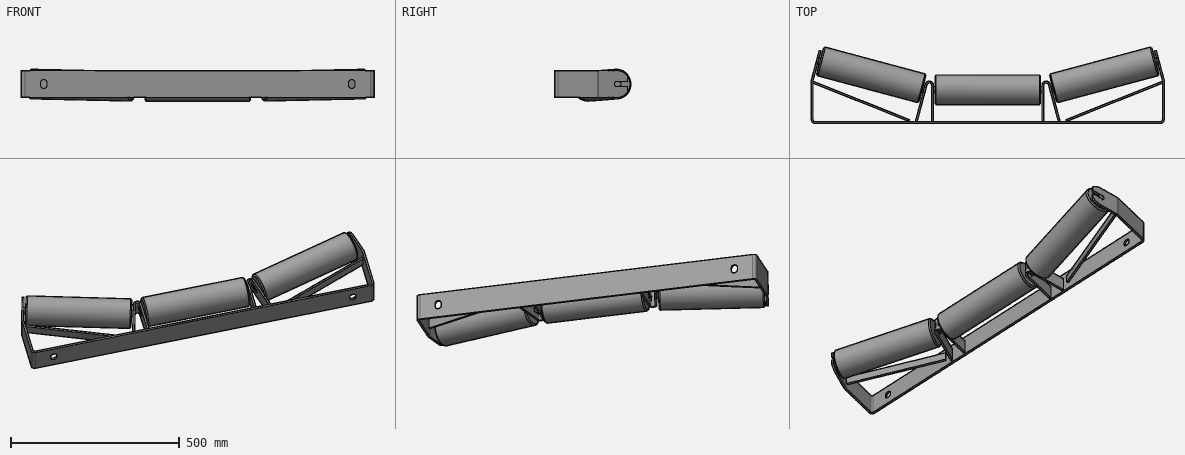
import cadquery as cq
import math

SHEET = 6.0
STRIP_WIDTH = 80.0
BEND_RADIUS = 10.0

FRAME_LENGTH = 1050.0
LEG_BEND_HEIGHT = 129.0
FLANGE_LENGTH = 91.0
WING_ANGLE = 15.0

MOUNT_HOLE_SPACING = 916.0
MOUNT_HOLE_WIDTH = 19.0
MOUNT_HOLE_HEIGHT = 26.0

BRACKET_SPAN = 322.0
FOLD_RADIUS = 13.0
BRACKET_WIDTH = 52.0
BRACKET_HEIGHT = 126.0

BRACE_WIDTH = 30.0
BRACE_HEAD_HEIGHT = 126.0
BRACE_FOOT_X = 232.0
BRACE_BITE = 1.0

ROLLER_LENGTH = 315.0
ROLLER_DIAMETER = 89.0
ROLLER_EDGE = 4.0
SHAFT_DIAMETER = 20.0
SHAFT_FLATS = 16.0
ROLLER_DROP = 6.8
CENTRE_AXIS_HEIGHT = 100.0
WING_AXIS_ABOVE_BEND = 61.0

SIDES = (-1, 1)

COS_WING = math.cos(math.radians(WING_ANGLE))
SIN_WING = math.sin(math.radians(WING_ANGLE))
WING_AXIS = cq.Vector(COS_WING, -SIN_WING, 0)
WING_UP = cq.Vector(SIN_WING, COS_WING, 0)

LEG_BEND = cq.Vector(-FRAME_LENGTH / 2, LEG_BEND_HEIGHT, 0)
FOLD_CENTRE = cq.Vector(-BRACKET_SPAN / 2 - FOLD_RADIUS, BRACKET_HEIGHT - FOLD_RADIUS, 0)
WING_SPAN = (FOLD_CENTRE - LEG_BEND).dot(WING_AXIS) - FOLD_RADIUS - SHEET
WING_CENTRE = LEG_BEND + WING_UP * WING_AXIS_ABOVE_BEND + WING_AXIS * (SHEET + WING_SPAN / 2)
WING_DROP_ANGLE = math.degrees(math.atan(ROLLER_DROP / WING_SPAN))


def prism(left_points, width, corner_radius):
    """Left-right symmetric prism with its four outermost upright edges rounded."""
    right_points = [(-x, y) for x, y in reversed(left_points)]
    return (
        cq.Workplane("XY")
        .polyline(left_points + right_points)
        .close()
        .extrude(width / 2, both=True)
        .edges("|Z and (<X or >X)")
        .fillet(corner_radius)
    )


def turn_to_wing(shape, side):
    """Move a shape built along X to the left (side -1) or right (side 1) wing, square to its flange."""
    turned = shape.rotate((0, 0, 0), (0, 0, 1), side * WING_ANGLE)
    return turned.translate((-side * WING_CENTRE.x, WING_CENTRE.y, 0))


def place_wing(shape, side):
    """Put a shape built along X on a wing roller axis, which drops towards the middle."""
    tilted = shape.rotate((0, 0, 0), (0, 1, 0), -side * WING_DROP_ANGLE)
    return turn_to_wing(tilted, side).translate((0, 0, -ROLLER_DROP / 2))


def place_centre(shape):
    return shape.translate((0, CENTRE_AXIS_HEIGHT, -ROLLER_DROP))


def make_flange_corners(side):
    """Waste outside the arc that rounds a flange end about the roller axis."""
    thickness = 4 * SHEET
    above_axis = cq.Workplane("XY").box(thickness, STRIP_WIDTH, 2 * STRIP_WIDTH)
    rounded_end = cq.Workplane("YZ").circle(STRIP_WIDTH / 2).extrude(thickness / 2, both=True)
    waste = above_axis.translate((0, STRIP_WIDTH / 2, 0)).cut(rounded_end)
    return turn_to_wing(waste.translate((side * WING_SPAN / 2, 0, 0)), side)


def make_channel():
    tip_outer = LEG_BEND + WING_UP * FLANGE_LENGTH
    tip_inner = tip_outer + WING_AXIS * SHEET
    above_tip = tip_inner + WING_UP * FLANGE_LENGTH
    inner_x = LEG_BEND.x + SHEET
    inner_bend_y = LEG_BEND_HEIGHT - SHEET * math.tan(math.radians(WING_ANGLE / 2))
    outside = [tip_inner.toTuple()[:2], tip_outer.toTuple()[:2], LEG_BEND.toTuple()[:2], (LEG_BEND.x, 0)]
    inside = [above_tip.toTuple()[:2], (inner_x, inner_bend_y), (inner_x, SHEET)]
    channel = prism(outside, STRIP_WIDTH, BEND_RADIUS).cut(prism(inside, STRIP_WIDTH, BEND_RADIUS - SHEET))
    for side in SIDES:
        channel = channel.cut(make_flange_corners(side))
    mount_holes = (
        cq.Workplane("XZ")
        .pushPoints([(-MOUNT_HOLE_SPACING / 2, 0), (MOUNT_HOLE_SPACING / 2, 0)])
        .slot2D(MOUNT_HOLE_HEIGHT, MOUNT_HOLE_WIDTH, 90)
        .extrude(-SHEET)
    )
    return channel.cut(mount_holes)


def make_left_bracket():
    """Upright leg, round fold and a leg square to the wing roller axis."""
    inner_radius = FOLD_RADIUS - SHEET

    def on_fold(radius, angle):
        turn = math.radians(angle)
        return (FOLD_CENTRE.x + radius * math.cos(turn), FOLD_CENTRE.y + radius * math.sin(turn))

    def foot(radius):
        start_x, start_y = on_fold(radius, 180 - WING_ANGLE)
        return (start_x - start_y * SIN_WING / COS_WING, 0)

    return (
        cq.Workplane("XY")
        .moveTo(FOLD_CENTRE.x + FOLD_RADIUS, 0)
        .lineTo(*on_fold(FOLD_RADIUS, 0))
        .threePointArc(on_fold(FOLD_RADIUS, 90), on_fold(FOLD_RADIUS, 180 - WING_ANGLE))
        .lineTo(*foot(FOLD_RADIUS))
        .lineTo(*foot(inner_radius))
        .lineTo(*on_fold(inner_radius, 180 - WING_ANGLE))
        .threePointArc(on_fold(inner_radius, 90), on_fold(inner_radius, 0))
        .lineTo(FOLD_CENTRE.x + inner_radius, 0)
        .close()
        .extrude(BRACKET_WIDTH / 2, both=True)
        .translate((0, 0, -ROLLER_DROP))
    )


def make_left_brace():
    """Flat strip from the leg bend down to the base; its corners bite into both."""
    head = cq.Vector(LEG_BEND.x + SHEET - BRACE_BITE, BRACE_HEAD_HEIGHT, 0)
    foot = cq.Vector(-BRACE_FOOT_X, SHEET - BRACE_BITE + SHEET, 0)
    run = foot - head
    slope = math.degrees(math.atan2(run.y, run.x))
    return (
        cq.Workplane("XY")
        .rect(run.Length, SHEET)
        .extrude(BRACE_WIDTH / 2, both=True)
        .translate((run.Length / 2, -SHEET / 2, 0))
        .rotate((0, 0, 0), (0, 0, 1), slope)
        .translate(head)
    )


def make_flatted_shaft(span):
    """Round shaft with two flats, reaching through the sheet at both ends of the span."""
    length = span + 2 * SHEET
    flats = cq.Workplane("XY").box(length, SHAFT_DIAMETER, SHAFT_FLATS)
    return cq.Workplane("YZ").circle(SHAFT_DIAMETER / 2).extrude(length / 2, both=True).intersect(flats)


def make_roller(span):
    """Roller and shaft along X, centred on the origin."""
    drum = (
        cq.Workplane("YZ", origin=(-ROLLER_LENGTH / 2, 0, 0))
        .circle(ROLLER_DIAMETER / 2)
        .extrude(ROLLER_LENGTH)
        .edges()
        .chamfer(ROLLER_EDGE)
    )
    round_shaft = cq.Workplane("YZ").circle(SHAFT_DIAMETER / 2).extrude(span / 2, both=True)
    return drum.union(round_shaft).union(make_flatted_shaft(span))


def make_shaft_slots(span):
    """Open-topped slots for both shaft ends, just long enough to pass through the sheet."""
    margin = 1.0
    length = span + 2 * SHEET + 2 * margin
    bottom = make_flatted_shaft(span + 2 * margin)
    throat = cq.Workplane("XY").box(length, FLANGE_LENGTH, SHAFT_FLATS).translate((0, FLANGE_LENGTH / 2, 0))
    keep_between = cq.Workplane("XY").box(span - 2 * margin, 3 * FLANGE_LENGTH, STRIP_WIDTH)
    return bottom.union(throat).cut(keep_between)


def make_frame():
    frame = make_channel()
    for member in (make_left_bracket(), make_left_brace()):
        frame = frame.union(member).union(member.mirror("YZ"))
    frame = frame.cut(place_centre(make_shaft_slots(BRACKET_SPAN)))
    for side in SIDES:
        frame = frame.cut(place_wing(make_shaft_slots(WING_SPAN), side))
    return frame


frame = make_frame()
centre_roller = place_centre(make_roller(BRACKET_SPAN))
wing_rollers = [place_wing(make_roller(WING_SPAN), side) for side in SIDES]

result = cq.Compound.makeCompound(
    [frame.val(), centre_roller.val(), *[roller.val() for roller in wing_rollers]]
)